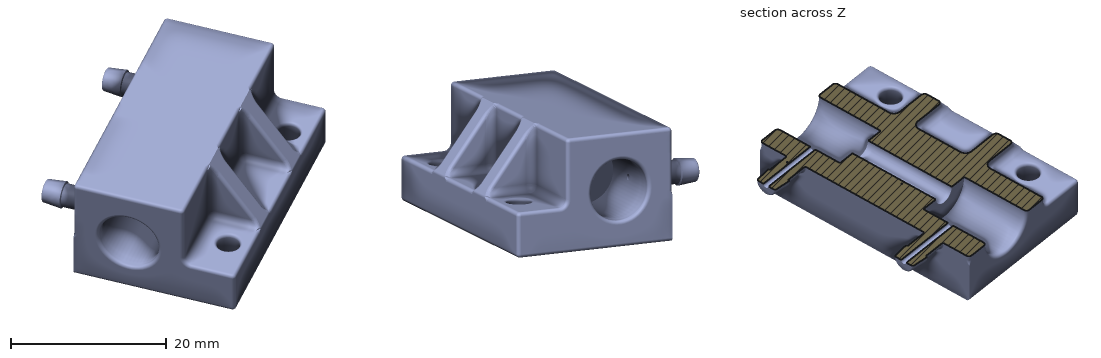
import cadquery as cq
import math


body_width = 22.0
body_length = 35
body_height = 15.0
wall_x = 15.0
flange_height = 6.0
edge_radius = 0.5
corner_radius = 1.0

rib_offset = 6.0
rib_thickness = 3.0

bore_x = 7.5
bore_z = body_height / 2
bore_diameter = 8.1
bore_depth = 10.5
passage_diameter = 3.1

station_offset = 11.5
mount_x = 19.0
mount_diameter = 3.0

nipple_length = 6.0
nipple_diameter = 3.1
nipple_bore = 0.8
nipple_rounding = 0.2
barb_diameter = 3.6
barb_length = 2.6
barb_shoulder = 0.1

sharp_corner_height = flange_height + corner_radius

fade_sections = 3
fade_end_radius = 0.018

half_length = body_length / 2
both_sides = (-1, 1)


def edge_fade(corner, inward, direction):
    """Cutter that lets an edge rounding fade to a sharp edge beyond `corner`.

    The edge runs along `direction`, `inward` points into the part along one of its two faces,
    and the other face lies along direction x inward. The rounding shrinks along an arc of corner_radius.
    """
    length = math.sqrt(2 * corner_radius * edge_radius - edge_radius**2)
    cutter = cq.Workplane(cq.Plane(origin=corner, xDir=inward, normal=direction))
    step = length / (fade_sections - 1)
    for index in range(fade_sections):
        distance = index * step
        shrink = corner_radius - math.sqrt(corner_radius**2 - distance**2)
        radius = max(edge_radius - shrink, fade_end_radius)
        arc_middle = radius * (1 - math.sqrt(0.5))
        cutter = (
            cutter.moveTo(-radius, -radius)
            .lineTo(radius, -radius)
            .lineTo(radius, 0)
            .threePointArc((arc_middle, arc_middle), (0, radius))
            .lineTo(-radius, radius)
            .close()
        )
        if index < fade_sections - 1:
            cutter = cutter.workplane(offset=step)
    return cutter.loft()


def make_block():
    """Tall block with a low flange, all outside edges rounded but the one under the nipple wall."""
    outline = [
        (0, 0),
        (body_width, 0),
        (body_width, flange_height),
        (wall_x, flange_height),
        (wall_x, body_height),
        (0, body_height),
    ]
    block = cq.Workplane("XZ").polyline(outline).close().extrude(half_length, both=True)
    inside_corner = cq.selectors.NearestToPointSelector((wall_x, 0, flange_height))
    block = block.edges(inside_corner).fillet(corner_radius)
    return block.faces(">X or >Z or <Y or >Y").edges().fillet(edge_radius)


def make_sharp_corner():
    """Square lower part of the nipple-wall corner at -Y, into which the rounding above fades."""
    width = 2 * edge_radius
    corner = cq.Workplane("XY").box(width, width, sharp_corner_height, centered=False)
    corner = corner.edges("<Y and <Z").fillet(edge_radius).translate((0, -half_length, 0))
    fade = edge_fade((0, -half_length, sharp_corner_height), inward=(0, 1, 0), direction=(0, 0, -1))
    return corner.cut(fade)


def make_gusset():
    """Sloped rib centred on Y = 0, flared into wall and flange by its inside corners."""
    rib_side = rib_thickness / 2
    flared_side = rib_side + corner_radius
    root_x = wall_x - corner_radius
    root_z = flange_height - corner_radius
    outline = [
        (wall_x, body_height),
        (body_width, flange_height),
        (body_width, root_z),
        (root_x, root_z),
        (root_x, body_height),
    ]
    gusset = cq.Workplane("XZ").polyline(outline).close().extrude(flared_side, both=True)
    pocket = (
        cq.Workplane("XY")
        .box(body_width, body_width, body_height, centered=False)
        .edges("(|Z and <X and <Y) or (<Z and (<X or <Y))")
        .fillet(corner_radius)
        .translate((wall_x, rib_side, flange_height))
    )
    gusset = gusset.cut(pocket).cut(pocket.mirror("XZ"))
    slope_middle_x = (wall_x + body_width) / 2
    slope_middle_z = (body_height + flange_height) / 2
    for side in both_sides:
        top_edge = cq.selectors.NearestToPointSelector((slope_middle_x, side * rib_side, slope_middle_z))
        gusset = gusset.edges(top_edge).fillet(edge_radius)
    toe_edge = cq.selectors.NearestToPointSelector((body_width, 0, flange_height))
    gusset = gusset.edges(toe_edge).fillet(edge_radius)
    for x, z in ((wall_x, body_height), (body_width, flange_height)):
        fade = edge_fade((x, flared_side, z), inward=(-1, 0, 0), direction=(0, -1, 0))
        gusset = gusset.cut(fade).cut(fade.mirror("XZ"))
    return gusset


def make_rounded_hole_tool(diameter, depth):
    """Hole cutter going down from Z = 0, with a mouth that rounds over the surface there."""
    radius = diameter / 2
    mouth_radius = radius + edge_radius
    arc_middle = edge_radius * (1 - math.sqrt(0.5))
    return (
        cq.Workplane("XZ")
        .moveTo(0, 0)
        .lineTo(mouth_radius, 0)
        .threePointArc((radius + arc_middle, -arc_middle), (radius, -edge_radius))
        .lineTo(radius, -depth)
        .lineTo(0, -depth)
        .close()
        .revolve(360, (0, 0), (0, 1))
    )


def cut_main_bore(body):
    """Counterbores from both ends and the passage that joins them."""
    counterbore = make_rounded_hole_tool(bore_diameter, bore_depth)
    counterbore = counterbore.rotate((0, 0, 0), (1, 0, 0), 90).translate((bore_x, -half_length, bore_z))
    passage = cq.Workplane("XZ").center(bore_x, bore_z).circle(passage_diameter / 2)
    passage = passage.extrude(half_length, both=True)
    return body.cut(counterbore).cut(counterbore.mirror("XZ")).cut(passage)


def make_nipple():
    """Barbed hose nipple along -X, standing on the wall with a rounded root."""
    radius = nipple_diameter / 2
    barb_radius = barb_diameter / 2
    barb_end = barb_length - nipple_length
    arc_middle = nipple_rounding * (1 - math.sqrt(0.5))
    return (
        cq.Workplane("XY")
        .moveTo(edge_radius, 0)
        .lineTo(-nipple_length, 0)
        .lineTo(-nipple_length, radius - nipple_rounding)
        .threePointArc(
            (-nipple_length + arc_middle, radius - arc_middle),
            (-nipple_length + nipple_rounding, radius),
        )
        .lineTo(barb_end, barb_radius)
        .lineTo(barb_end + barb_shoulder, radius)
        .lineTo(-nipple_rounding, radius)
        .threePointArc((-arc_middle, radius + arc_middle), (0, radius + nipple_rounding))
        .lineTo(edge_radius, radius + nipple_rounding)
        .close()
        .revolve(360, (0, 0), (1, 0))
    )


result = make_block()
sharp_corner = make_sharp_corner()
result = result.union(sharp_corner).union(sharp_corner.mirror("XZ"))
gusset = make_gusset()
for side in both_sides:
    result = result.union(gusset.translate((0, side * rib_offset, 0)))

result = cut_main_bore(result)
mount_hole = make_rounded_hole_tool(mount_diameter, flange_height)
nipple = make_nipple()
nipple_drill = cq.Workplane("YZ").circle(nipple_bore / 2).extrude(bore_x + nipple_length)
nipple_drill = nipple_drill.translate((-nipple_length, 0, 0))
for side in both_sides:
    station_y = side * station_offset
    nipple_place = (0, station_y, bore_z)
    result = result.cut(mount_hole.translate((mount_x, station_y, flange_height)))
    result = result.union(nipple.translate(nipple_place)).cut(nipple_drill.translate(nipple_place))